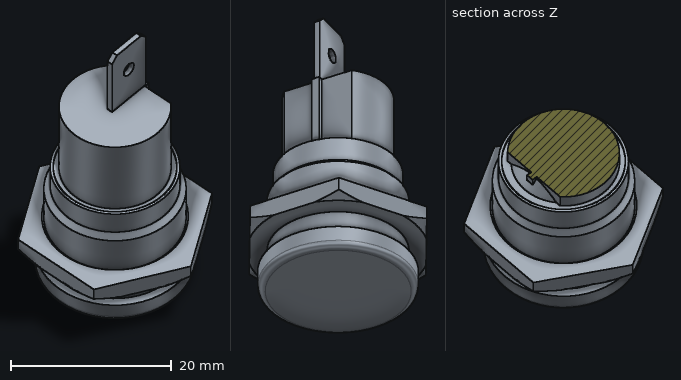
import cadquery as cq
import math

flange_top = 2.95
nut_bottom = 5.92
nut_top = 8.45
body_top = 14.25
neck_top = 17.55
barrel_top = 28.57
tab_top = 38.2

flange_diameter = 20.0
flange_fillet = 0.9
body_diameter = 17.72
neck_diameter = 16.2
body_chamfer = (body_diameter - neck_diameter) / 2
recess_diameter = 15.4
recess_depth = 0.2
recess_floor = neck_top - recess_depth

barrel_diameter = 14.0
flat_y = 5.05
cone_radius = 6.55

nut_across_flats = 22.0
nut_across_corners = nut_across_flats / math.cos(math.radians(30))
nut_chamfer_radius = 11.4
nut_chamfer_slope = math.tan(math.radians(30))
nut_bore_chamfer = 0.25

tab_thickness = 0.8
tab_width = 6.3
tab_outer_y = 5.3
tab_center_y = tab_outer_y - tab_width / 2
tab_chamfer = 0.9
tab_hole_diameter = 1.87
tab_hole_z = 33.85
rib_width = 1.07
rib_outer_y = 5.73


def cylinder(diameter, bottom, top):
    return cq.Workplane("XY").workplane(offset=bottom).circle(diameter / 2).extrude(top - bottom)


def make_housing():
    flange = cylinder(flange_diameter, 0, flange_top).faces("<Z").edges().fillet(flange_fillet)
    body = cylinder(body_diameter, flange_top, body_top).faces(">Z").edges().chamfer(body_chamfer)
    neck = cylinder(neck_diameter, body_top, neck_top)
    recess = cylinder(recess_diameter, recess_floor, neck_top)
    return flange.union(body).union(neck).cut(recess)


def make_nut():
    height = nut_top - nut_bottom
    hexagon = cq.Workplane("XY").workplane(offset=nut_bottom).polygon(6, nut_across_corners).extrude(height)
    outer_radius = nut_chamfer_radius + height / nut_chamfer_slope
    envelope = cq.Workplane(
        cq.Solid.makeCone(nut_chamfer_radius, outer_radius, height, pnt=cq.Vector(0, 0, nut_bottom))
    )
    countersink = cq.Workplane(
        cq.Solid.makeCone(
            body_diameter / 2,
            body_diameter / 2 + nut_bore_chamfer,
            nut_bore_chamfer,
            pnt=cq.Vector(0, 0, nut_top - nut_bore_chamfer),
        )
    )
    return hexagon.intersect(envelope).cut(countersink)


def make_barrel():
    barrel = cylinder(barrel_diameter, recess_floor, barrel_top)
    beyond_flat = (
        cq.Workplane("XY")
        .workplane(offset=recess_floor)
        .center(0, flat_y)
        .rect(barrel_diameter, barrel_diameter, centered=(True, False))
        .extrude(barrel_top - recess_floor)
    )
    cone = cq.Workplane(cq.Solid.makeCone(cone_radius, 0, cone_radius, pnt=cq.Vector(0, 0, recess_floor)))
    return barrel.cut(beyond_flat).union(cone)


def make_rib():
    return (
        cq.Workplane("XY")
        .workplane(offset=recess_floor)
        .rect(rib_width, rib_outer_y, centered=(True, False))
        .extrude(barrel_top - recess_floor)
    )


def make_tab():
    blade = (
        cq.Workplane("XY")
        .workplane(offset=recess_floor)
        .center(0, tab_center_y)
        .rect(tab_thickness, tab_width)
        .extrude(tab_top - recess_floor)
        .faces(">Z")
        .edges("|X")
        .chamfer(tab_chamfer)
    )
    hole = (
        cq.Workplane("YZ")
        .center(tab_center_y, tab_hole_z)
        .circle(tab_hole_diameter / 2)
        .extrude(tab_thickness, both=True)
    )
    return blade.cut(hole)


result = make_housing().union(make_nut()).union(make_barrel()).union(make_rib()).union(make_tab())